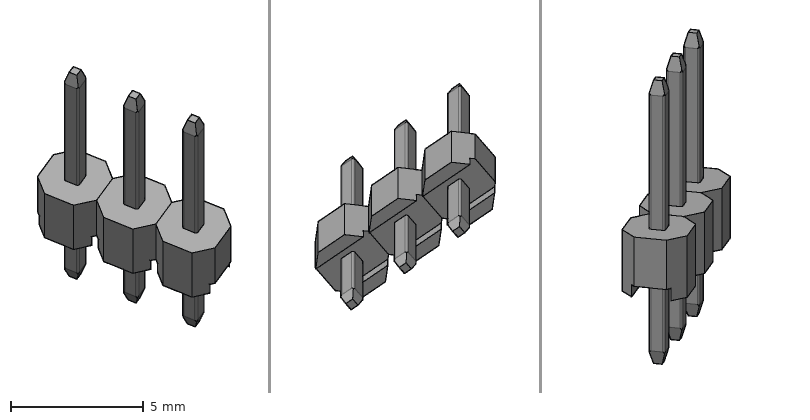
import cadquery as cq

position_count = 3
pitch = 2.54

block_height = 2.5
corner_cut = 0.64
channel_width = 1.53
channel_height = 0.5

pin_width = 0.64
pin_length = 11.5
pin_length_below = 3.0
pin_edge_radius = 0.09
tip_width = 0.33
tip_length = 0.56
pin_bottom = -pin_length_below
pin_top = pin_bottom + pin_length


def make_block():
    """Octagonal block with a channel along X across its underside."""
    block = (
        cq.Workplane("XY")
        .rect(pitch, pitch)
        .extrude(block_height)
        .edges("|Z")
        .chamfer(corner_cut)
    )
    channel = cq.Workplane("XY").rect(pitch, channel_width).extrude(channel_height)
    return block.cut(channel)


def make_tip(base_z, direction):
    """Four-sided taper from the full pin width at base_z; direction is +1 for up, -1 for down."""
    return (
        cq.Workplane("XY", origin=(0, 0, base_z))
        .rect(pin_width, pin_width)
        .workplane(offset=direction * tip_length)
        .rect(tip_width, tip_width)
        .loft(ruled=True)
    )


def make_pin():
    """Square pin with rounded long edges and a tapered tip at each end."""
    lower_shoulder = pin_bottom + tip_length
    upper_shoulder = pin_top - tip_length
    shank = (
        cq.Workplane("XY", origin=(0, 0, lower_shoulder))
        .rect(pin_width, pin_width)
        .extrude(upper_shoulder - lower_shoulder)
    )
    tapered_bar = shank.union(make_tip(lower_shoulder, -1)).union(make_tip(upper_shoulder, 1))
    rounded_bar = (
        cq.Workplane("XY", origin=(0, 0, pin_bottom))
        .rect(pin_width, pin_width)
        .extrude(pin_length)
        .edges("|Z")
        .fillet(pin_edge_radius)
    )
    return tapered_bar.intersect(rounded_bar)


def make_header_position(center_x):
    """One header position: block and pin formed as a single solid."""
    return make_block().union(make_pin()).translate((center_x, 0, 0))


header_positions = []
for index in range(position_count):
    center_x = (index - (position_count - 1) / 2) * pitch
    header_positions.append(make_header_position(center_x).solids().val())

result = cq.Compound.makeCompound(header_positions)